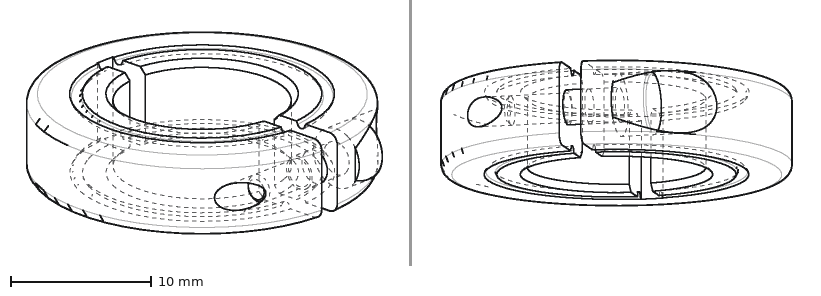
import cadquery as cq

OUTER_RADIUS = 12.5
WIDTH = 6.0
BORE_RADIUS = 6.35
BORE_CHAMFER = 0.5
RIM_FILLET = 0.75

GROOVE_INNER_RADIUS = 8.52
GROOVE_OUTER_RADIUS = 9.42
GROOVE_DEPTH = 0.45
GROOVE_WALL_DEPTH = 0.2
GROOVE_WALL_INSET = 0.1

SLOT_WIDTH = 1.6
SLOT_END_RADIUS = 9.5

SCREW_X = 10.25
SHANK_RADIUS = 1.25
THREAD_RADIUS = 1.05
TIP_CHAMFER = 0.28
TIP_Y = -5.25
HEAD_RADIUS = OUTER_RADIUS - SCREW_X
HEAD_HEIGHT = 2 * SHANK_RADIUS
HEAD_SEAT_Y = 3.05
HEAD_FILLET = 0.15


def cylinder_along_y(radius, start_y, end_y):
    """Cylinder on the screw axis between two Y positions."""
    axis_start = cq.Vector(SCREW_X, start_y, 0)
    return cq.Workplane(cq.Solid.makeCylinder(radius, end_y - start_y, axis_start, cq.Vector(0, 1, 0)))


def make_ring():
    """Ring with rounded outer rims and chamfered bore."""
    ring = cq.Workplane("XY").circle(OUTER_RADIUS).extrude(WIDTH / 2, both=True)
    bore = cq.Workplane("XY").circle(BORE_RADIUS).extrude(WIDTH / 2, both=True)
    ring = ring.cut(bore)
    ring = ring.edges(cq.selectors.RadiusNthSelector(0)).chamfer(BORE_CHAMFER)
    return ring.edges(cq.selectors.RadiusNthSelector(-1)).fillet(RIM_FILLET)


def make_groove(face_side):
    """Cutter for one face groove; face_side is +1 for the top and -1 for the bottom."""
    face_z = face_side * WIDTH / 2
    wall_z = face_z - face_side * GROOVE_WALL_DEPTH
    floor_z = face_z - face_side * GROOVE_DEPTH
    middle_radius = (GROOVE_INNER_RADIUS + GROOVE_OUTER_RADIUS) / 2
    return (
        cq.Workplane("XZ")
        .moveTo(GROOVE_INNER_RADIUS, face_z)
        .lineTo(GROOVE_INNER_RADIUS + GROOVE_WALL_INSET, wall_z)
        .threePointArc((middle_radius, floor_z), (GROOVE_OUTER_RADIUS - GROOVE_WALL_INSET, wall_z))
        .lineTo(GROOVE_OUTER_RADIUS, face_z)
        .close()
        .revolve(360, (0, 0, 0), (0, 1, 0))
    )


def make_slot():
    """Cutter for the slot that lets the collar close."""
    length = SLOT_END_RADIUS + OUTER_RADIUS
    middle_x = (OUTER_RADIUS - SLOT_END_RADIUS) / 2
    return cq.Workplane("XY").center(middle_x, 0).box(length, SLOT_WIDTH, WIDTH)


def make_screw_hole():
    """Cutter for the tapped hole, the clearance hole and the head counterbore."""
    tapped_hole = cylinder_along_y(THREAD_RADIUS, -OUTER_RADIUS, 0)
    clearance_hole = cylinder_along_y(SHANK_RADIUS, 0, HEAD_SEAT_Y)
    counterbore = cylinder_along_y(HEAD_RADIUS, HEAD_SEAT_Y, OUTER_RADIUS)
    return tapped_hole.union(clearance_hole).union(counterbore)


def make_collar():
    collar = make_ring()
    for face_side in (1, -1):
        collar = collar.cut(make_groove(face_side))
    return collar.cut(make_slot()).cut(make_screw_hole())


def make_screw():
    """Screw with a full shank down to the far slot wall and a thinner threaded end."""
    head = cylinder_along_y(HEAD_RADIUS, HEAD_SEAT_Y, HEAD_SEAT_Y + HEAD_HEIGHT)
    head = head.faces(">Y").edges().fillet(HEAD_FILLET)
    shank = cylinder_along_y(SHANK_RADIUS, -SLOT_WIDTH / 2, HEAD_SEAT_Y)
    thread = cylinder_along_y(THREAD_RADIUS, TIP_Y, -SLOT_WIDTH / 2)
    thread = thread.faces("<Y").edges().chamfer(TIP_CHAMFER)
    return head.union(shank).union(thread)


collar = make_collar()
clamp_screw = make_screw()

result = cq.Compound.makeCompound([collar.solids().val(), clamp_screw.solids().val()])